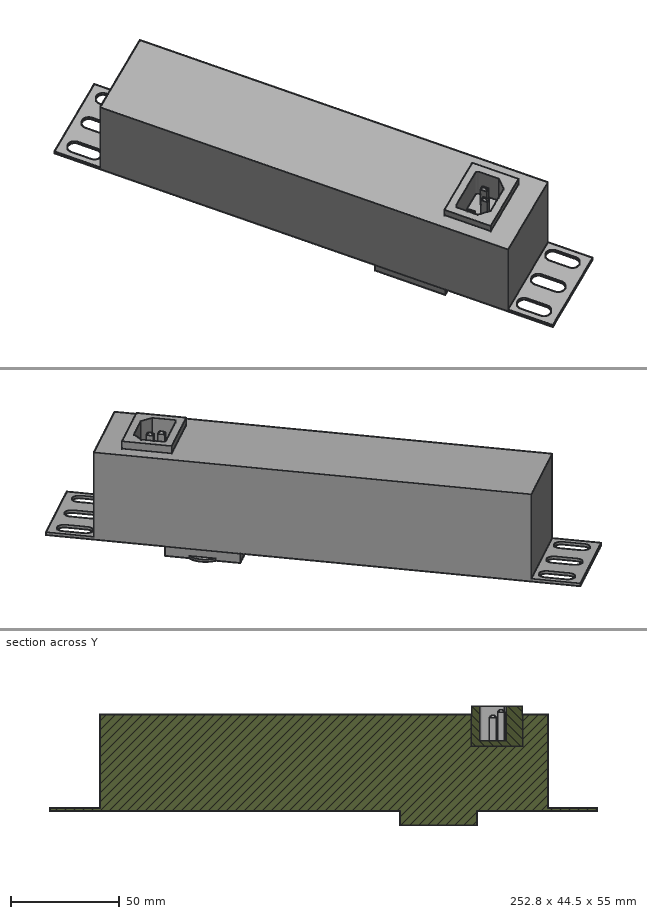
import cadquery as cq

overall_length = 252.8
housing_length = 207.0
housing_center_x = 0.3
housing_width = 44.5
housing_height = 44.7
strip_thickness = 1.5

slot_length = 17.0
slot_width = 6.8
slot_pitch = 16.0
slots_per_end = 3
slot_offset_x = 114.0

outlet_length = 35.6
outlet_width = 39.0
outlet_height = 6.5
outlet_center_x = 53.0
outlet_center_y = -0.8
tab_width = 12.6
tab_reach = 2.5
tab_thickness = 1.3

inlet_length = 23.5
inlet_width = 31.0
inlet_rise = 3.8
inlet_center_x = 80.1
inlet_floor = 2.5
inlet_top = housing_height + inlet_rise

cavity_length = 16.0
cavity_width = 23.8
cavity_depth = 16.0
cavity_chamfer = 4.5
cavity_corner_radius = 1.3

pin_length = 3.3
pin_width = 2.3
pin_tip_chamfer = 1.0
outer_pin_height = 11.6
middle_pin_height = 14.2
pin_spacing_y = 7.5
pin_stagger_x = 1.9

inlet_depth = cavity_depth + inlet_floor
cavity_floor_z = inlet_top - cavity_depth


def upright_box(length, width, height, center_x, center_y, base_z):
    """A box standing on base_z, centred at the given X and Y."""
    box = cq.Workplane("XY").box(length, width, height, centered=(True, True, False))
    return box.translate((center_x, center_y, base_z))


def inlet_block():
    """The outer block of the inlet, which also shapes its recess in the housing."""
    return upright_box(inlet_length, inlet_width, inlet_depth, inlet_center_x, 0, inlet_top - inlet_depth)


def mounting_slots():
    """Slots through both ends of the mounting strip."""
    first_y = -slot_pitch * (slots_per_end - 1) / 2
    places = []
    for end in (-1, 1):
        for i in range(slots_per_end):
            places.append((end * slot_offset_x, first_y + i * slot_pitch))
    return cq.Workplane("XY").pushPoints(places).slot2D(slot_length, slot_width).extrude(strip_thickness)


def outlet_block():
    """The outlet under the housing and the rounded tab at the bottom of its +Y side."""
    block = upright_box(
        outlet_length, outlet_width, outlet_height, outlet_center_x, outlet_center_y, -outlet_height
    )
    edge_y = outlet_center_y + outlet_width / 2
    tab = (
        cq.Workplane("XY", origin=(outlet_center_x, edge_y, -outlet_height))
        .moveTo(-tab_width / 2, 0)
        .threePointArc((0, tab_reach), (tab_width / 2, 0))
        .close()
        .extrude(tab_thickness)
    )
    return block.union(tab)


def build_housing():
    """Block, mounting strip and outlet, with a recess for the inlet."""
    block = upright_box(housing_length, housing_width, housing_height, housing_center_x, 0, 0)
    strip = upright_box(overall_length, housing_width, strip_thickness, 0, 0, 0)
    housing = block.union(strip).union(outlet_block())
    return housing.cut(mounting_slots()).cut(inlet_block())


def plug_cavity():
    """Cavity with two chamfered corners on +X and two rounded corners on -X."""
    cavity = upright_box(cavity_length, cavity_width, cavity_depth, inlet_center_x, 0, cavity_floor_z)
    cavity = cavity.edges("|Z and >X").chamfer(cavity_chamfer)
    return cavity.edges("|Z and <X").fillet(cavity_corner_radius)


def contact_pin(center_x, center_y, height):
    """A rectangular pin with a tapered tip."""
    pin = upright_box(pin_length, pin_width, height, center_x, center_y, cavity_floor_z)
    return pin.faces(">Z").chamfer(pin_tip_chamfer)


def build_inlet():
    """Inlet block with its plug cavity and three staggered pins."""
    inlet = inlet_block().cut(plug_cavity())
    middle_pin = contact_pin(inlet_center_x + pin_stagger_x, 0, middle_pin_height)
    inlet = inlet.union(middle_pin)
    for side in (-1, 1):
        outer_pin = contact_pin(inlet_center_x - pin_stagger_x, side * pin_spacing_y, outer_pin_height)
        inlet = inlet.union(outer_pin)
    return inlet


housing = build_housing()
inlet = build_inlet()

result = cq.Compound.makeCompound([housing.val(), inlet.val()])